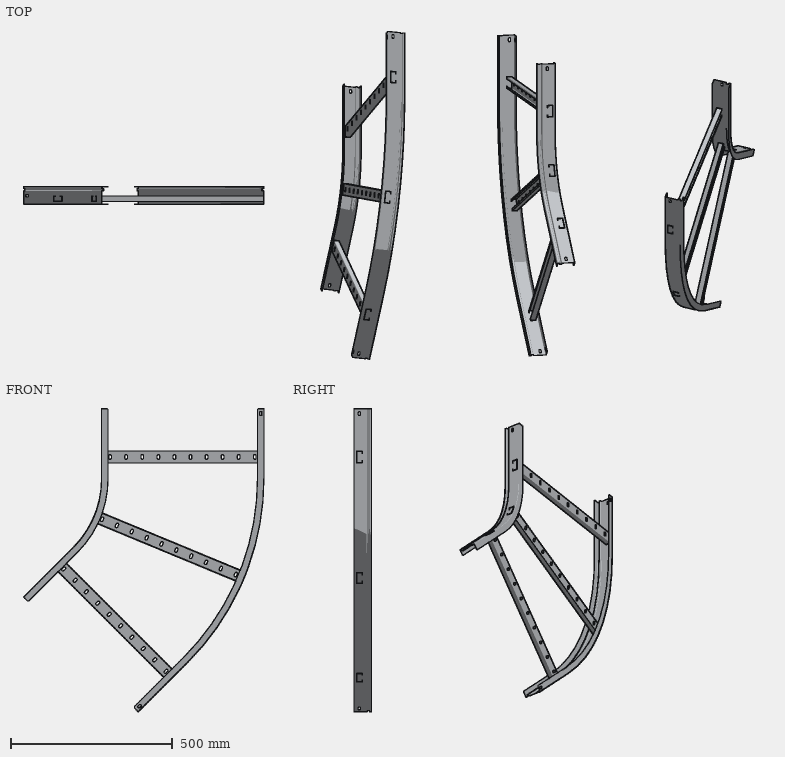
import cadquery as cq
import math


overall_height = 936.0
bend_angle = 45.0
inner_radius = 300.0
outer_radius = 801.0
bend_height = outer_radius * math.sin(math.radians(bend_angle))
lower_leg_share = math.cos(math.radians(bend_angle))
leg_length = (overall_height - bend_height) / (1 + lower_leg_share)

rail_height = 55.0
flange_width = 21.0
sheet = 1.5
fold_radius = 1.4
bead_depth = 6.0
bead_mouth = 7.5
bead_floor = 4.0
bead_centre = rail_height - 10.0
corner_cut = 3.0

web_slot_length = 12.0
web_slot_width = 7.0
web_slot_inset = 15.0
inner_rail_slot_y = 26.0
outer_rail_slot_y = 17.0
flange_slot_length = 12.0
flange_slot_width = 7.5
flange_slot_inset = 15.0

rung_width = 37.0
rung_depth = 18.0
rung_front = 8.0
rung_lip = 7.5
rung_fold_radius = 2.0
rung_offset = 67.0
rung_slot_count = 10
rung_slot_pitch = 50.0
rung_slot_length = 14.0
rung_slot_width = 7.5
rung_slot_shift = -1.0

clearance = 9.0


def mirror_leg(shape):
    """Copy of an upper-leg shape on the lower leg."""
    return shape.mirror("XY").rotate((0, 0, 0), (0, 1, 0), bend_angle)


def follow_bend(section):
    """Solid of a sketch (x = radius, y = height) carried along both legs and the bend."""
    leg = cq.Workplane("XY").placeSketch(section).extrude(leg_length)
    bend = cq.Workplane("XY").placeSketch(section).revolve(bend_angle, (0, 0, 0), (0, 1, 0))
    return leg.union(bend).union(mirror_leg(leg))


def rail_profile(web_radius, inward, inset):
    """Filled side of the rail's sheet, moved by inset from its outside face into the rail."""
    slope = math.atan2(bead_depth, (bead_mouth - bead_floor) / 2)
    widening = inset * math.tan(slope / 2)
    mouth = bead_mouth / 2 + widening
    floor = bead_floor / 2 + widening
    top = rail_height - inset
    outline = [
        (flange_width, inset),
        (inset, inset),
        (inset, bead_centre - mouth),
        (inset + bead_depth, bead_centre - floor),
        (inset + bead_depth, bead_centre + floor),
        (inset, bead_centre + mouth),
        (inset, top),
        (flange_width, top),
        (flange_width, inset),
    ]
    points = [(web_radius + inward * depth, y) for depth, y in outline]
    folds = "not >X" if inward > 0 else "not <X"
    return cq.Sketch().polygon(points).vertices(folds).fillet(fold_radius).reset()


def rail_end_cuts(web_radius, inward, slot_y):
    """Web slot and bevelled flange corners at the upper end of a rail."""
    slot = (
        cq.Workplane("YZ", origin=(web_radius - inward * clearance, 0, 0))
        .center(slot_y, leg_length - web_slot_inset)
        .slot2D(web_slot_length, web_slot_width, 90)
        .extrude(inward * 2 * clearance)
    )
    tip = web_radius + inward * flange_width
    bevel = (
        cq.Workplane("XZ")
        .polyline([
            (tip, leg_length),
            (tip - inward * corner_cut, leg_length),
            (tip, leg_length - corner_cut),
        ])
        .close()
        .extrude(-rail_height)
    )
    return slot.union(bevel)


def side_rail(web_radius, inward, slot_y):
    """C-section rail whose flanges run from the web along inward: +1 outwards, -1 to the axis."""
    section = rail_profile(web_radius, inward, 0).face(
        rail_profile(web_radius, inward, sheet), mode="s"
    )
    cuts = rail_end_cuts(web_radius, inward, slot_y)
    return follow_bend(section).cut(cuts).cut(mirror_leg(cuts))


def flange_slot():
    """Slot through the front flange of the outer rail, at its upper end."""
    return (
        cq.Workplane("XZ", origin=(0, -clearance, 0))
        .center(outer_radius - flange_width / 2, leg_length - flange_slot_inset)
        .slot2D(flange_slot_length, flange_slot_width, 90)
        .extrude(-2 * clearance)
    )


def rung_bar():
    """Lipped channel along +X at z = 0, open to the back and longer than the ladder is wide."""
    length = outer_radius - inner_radius + 2 * clearance
    middle = rung_front + rung_depth / 2

    def box_bar(centre_y, depth, width):
        return (
            cq.Workplane("YZ", origin=(inner_radius - clearance, 0, 0))
            .center(centre_y, 0)
            .rect(depth, width)
            .extrude(length)
        )

    tube = box_bar(middle, rung_depth, rung_width).edges("|X").fillet(rung_fold_radius)
    hollow = (
        box_bar(middle, rung_depth - 2 * sheet, rung_width - 2 * sheet)
        .edges("|X")
        .fillet(rung_fold_radius - sheet)
    )
    mouth = box_bar(rung_front + rung_depth, rung_depth, rung_width - 2 * rung_lip)
    mid_span = (inner_radius + outer_radius) / 2
    slots = (
        cq.Workplane("XZ", origin=(mid_span + rung_slot_shift, rung_front - clearance, 0))
        .rarray(rung_slot_pitch, 9, rung_slot_count, 1)
        .slot2D(rung_slot_length, rung_slot_width, 90)
        .extrude(-2 * clearance)
    )
    return tube.cut(hollow).cut(mouth).cut(slots)


ladder_space = follow_bend(
    cq.Sketch()
    .push([((inner_radius + outer_radius) / 2, rail_height / 2)])
    .rect(outer_radius - inner_radius, rail_height)
)
bar = rung_bar()
upper_bar = bar.translate((0, 0, rung_offset))
middle_bar = bar.rotate((0, 0, 0), (0, 1, 0), bend_angle / 2)
rungs = [
    placed.intersect(ladder_space)
    for placed in (upper_bar, middle_bar, mirror_leg(upper_bar))
]

inner_rail = side_rail(inner_radius, 1, inner_rail_slot_y)
outer_rail = side_rail(outer_radius, -1, outer_rail_slot_y)
outer_rail = outer_rail.cut(flange_slot()).cut(mirror_leg(flange_slot()))
for rung in rungs:
    inner_rail = inner_rail.cut(rung)
    outer_rail = outer_rail.cut(rung)

result = cq.Compound.makeCompound(
    [inner_rail.val(), outer_rail.val(), *[rung.val() for rung in rungs]]
)